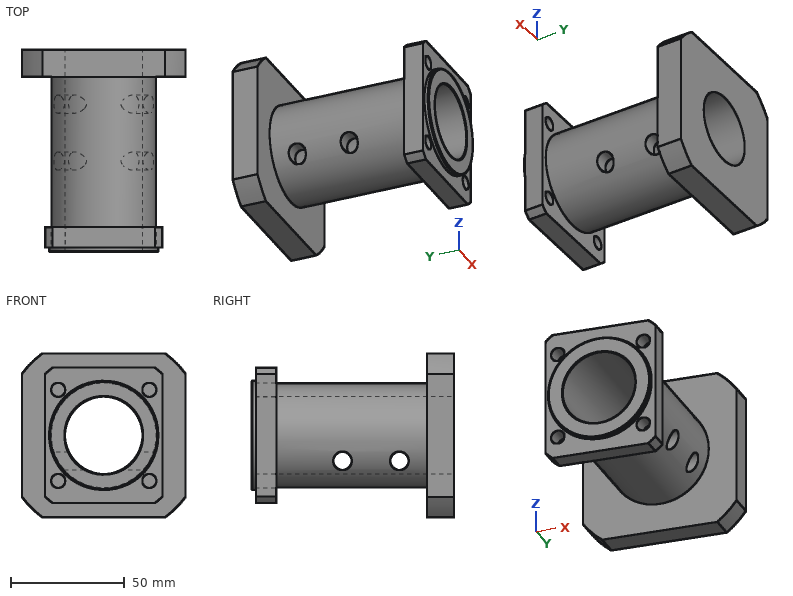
import cadquery as cq

large_flange_side = 72.0
large_flange_corner_diameter = 90.0
large_flange_thickness = 12.0

small_flange_width = 51.5
small_flange_height = 59.5
small_flange_corner_diameter = 74.5
small_flange_thickness = 9.0

overall_length = 89.0
spigot_diameter = 48.0
spigot_height = 2.0
spigot_chamfer = 0.5

tube_diameter = 46.0
bore_diameter = 34.0
bore_chamfer = 0.3

bolt_hole_diameter = 6.2
bolt_hole_spacing = 40.0

cross_hole_diameter = 8.0
cross_hole_drop = 11.2
cross_hole_first_offset = 12.0
cross_hole_pitch = 25.0
cross_hole_count = 2

spigot_face_y = 0.0
small_flange_front_y = spigot_face_y + spigot_height
small_flange_back_y = small_flange_front_y + small_flange_thickness
large_flange_back_y = spigot_face_y + overall_length
large_flange_front_y = large_flange_back_y - large_flange_thickness


def section_at(y):
    """Workplane normal to +Y at the given station, centred on the tube axis."""
    return cq.Workplane("XZ", origin=(0, y, 0))


def cylinder(diameter, start_y, end_y):
    """Cylinder on the tube axis between two stations."""
    return section_at(start_y).circle(diameter / 2).extrude(start_y - end_y)


def flange(width, height, corner_diameter, start_y, end_y):
    """Rectangular plate whose corners are turned to a common diameter."""
    plate = section_at(start_y).rect(width, height).extrude(start_y - end_y)
    return plate.intersect(cylinder(corner_diameter, start_y, end_y))


def make_body():
    """Both flanges, the tube between them and the chamfered locating spigot."""
    large_flange = flange(
        large_flange_side,
        large_flange_side,
        large_flange_corner_diameter,
        large_flange_front_y,
        large_flange_back_y,
    )
    small_flange = flange(
        small_flange_width,
        small_flange_height,
        small_flange_corner_diameter,
        small_flange_front_y,
        small_flange_back_y,
    )
    tube = cylinder(tube_diameter, small_flange_back_y, large_flange_front_y)
    spigot = cylinder(spigot_diameter, spigot_face_y, small_flange_front_y)
    spigot = spigot.faces("<Y").chamfer(spigot_chamfer)
    return large_flange.union(tube).union(small_flange).union(spigot)


def make_bore():
    """Through bore with a small chamfer at the spigot end."""
    bore_radius = bore_diameter / 2
    mouth_radius = bore_radius + bore_chamfer
    profile = cq.Workplane("XY").polyline([
        (0, spigot_face_y),
        (mouth_radius, spigot_face_y),
        (bore_radius, spigot_face_y + bore_chamfer),
        (bore_radius, large_flange_back_y),
        (0, large_flange_back_y),
    ])
    return profile.close().revolve(360, (0, 0, 0), (0, 1, 0))


def make_bolt_holes():
    """Four bolt holes through the small flange."""
    return (
        section_at(small_flange_front_y)
        .rect(bolt_hole_spacing, bolt_hole_spacing, forConstruction=True)
        .vertices()
        .circle(bolt_hole_diameter / 2)
        .extrude(-small_flange_thickness)
    )


def make_cross_holes():
    """Row of holes along X that pass through both tube walls below the axis."""
    first_y = large_flange_front_y - cross_hole_first_offset
    centres = [
        (first_y - i * cross_hole_pitch, -cross_hole_drop)
        for i in range(cross_hole_count)
    ]
    return (
        cq.Workplane("YZ")
        .pushPoints(centres)
        .circle(cross_hole_diameter / 2)
        .extrude(tube_diameter / 2, both=True)
    )


result = make_body().cut(make_bore()).cut(make_bolt_holes()).cut(make_cross_holes())